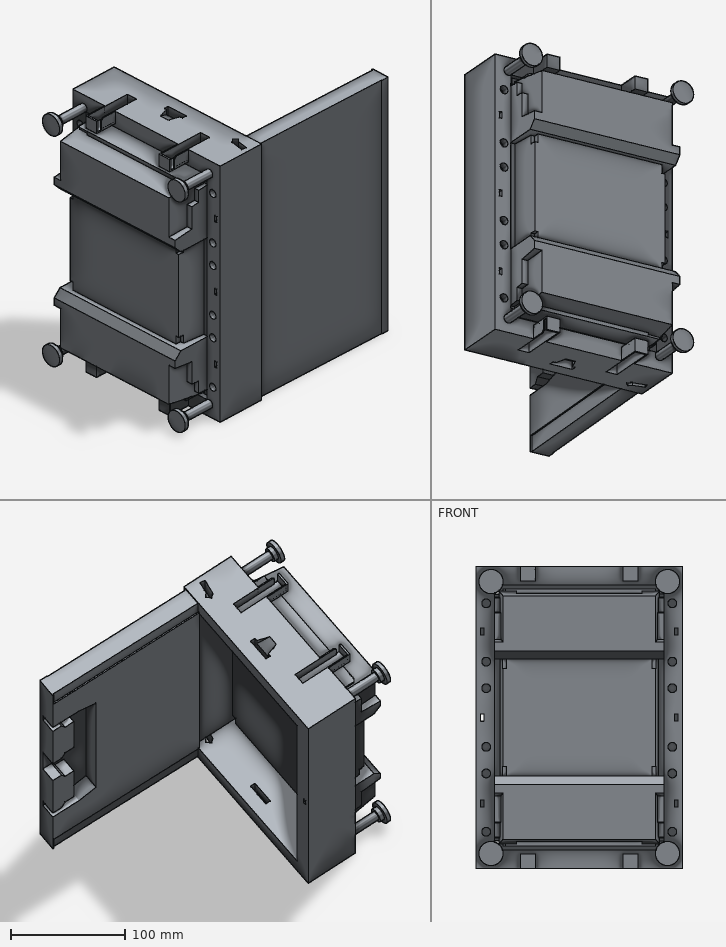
import cadquery as cq


FRAME_WIDTH = 181.0
FRAME_HEIGHT = 264.0
FRAME_DEPTH = 51.5
OPENING_WIDTH = 148.5
OPENING_HEIGHT = 231.4
WALL_Z = (FRAME_HEIGHT - OPENING_HEIGHT) / 2

HOLE_X = 81.3
HOLE_Z_POSITIONS = (25.5, 48.9, 99.8)
HOLE_DIAMETER = 7.7
HOLE_DEPTH = 8.0
SLOT_X = 84.8
SLOT_SPACING = 75.0
SLOT_WIDTH = 2.6
SLOT_HEIGHT = 6.0

CLIP_X = 45.0
CLIP_WIDTH = 13.2
CLIP_HEIGHT = 12.7
CLIP_REACH = 23.2
CLIP_SIDE_WALL = 1.0
CLIP_END_WALL = 1.8
NOTCHED_WALL_REACH = 17.5
NOTCHED_WALL_BEVEL = 2.6
TRENCH_FRONT_Y = 27.5
TRENCH_DEPTH = 11.0

LATCH_WIDTH = 22.5
LATCH_REAR_Y = 33.5
LATCH_FRONT_Y = 38.3
RAMP_REAR_Y = 22.2
RAMP_WIDE = 17.0
RAMP_NARROW = 9.5
RAMP_DEPTH = 5.3

HINGE_SLOT_X = 77.5
HINGE_SLOT_Y = 36.7
HINGE_SLOT_LENGTH = 15.3
HINGE_SLOT_WIDTH = 5.0
HINGE_SLOT_ANGLE = -10.0
HINGE_END_X = 70.8
HINGE_END_Y = 39.0
HINGE_END_SIZE = 5.5
HINGE_END_ANGLE = 45.0

PANEL_REAR_Y = 1.0
PANEL_FRONT_Y = 10.5
TALL_PANEL_REAR_Y = 5.3
WIDE_PANEL_HEIGHT = 215.5
CORE_BASE_WIDTH = 140.5
CORE_END_WIDTH = 133.0
CENTRE_BASE_WIDTH = 139.0
CENTRE_REACH = 27.5
SHROUD_REACH = 39.5
SHROUD_TOP_BASE_Z = 110.5
SHROUD_TOP_END_Z = 106.5
SHROUD_BOTTOM_Z = 51.0
SHROUD_LIP_Z = 58.4
CHAMFER_START_REACH = 32.5
FLANGE_TOP_Z = 105.5
LOW_STEP_REACH = 10.3
HIGH_STEP_Z = 92.2
HIGH_STEP_REACH = 18.8
FOOT_ROOT_Z = 68.5
FOOT_TIP_Z = 66.0
STEP_DRAFT = 0.8
NOTCH_WIDTH = 3.2
NOTCH_BOTTOM_Z = 42.8
NOTCH_REACH = 22.0

PLATE_WIDTH = 133.0
PLATE_TOP_Z = 112.2
PLATE_THICKNESS = 1.8
WEB_WIDTH = 109.9
PLATE_REACH = 18.2
PLATE_CORNER = 2.0

DOOR_LENGTH = 158.0
DOOR_HEIGHT = 261.5
DOOR_THICKNESS = 18.8
DOOR_INNER_X = 69.0
DOOR_LEAN = -0.8
DOOR_ROOT = 0.8
RAIL_HEIGHT = 15.0
RAIL_INSET = 1.3
END_CAP = 1.3
LIP_LENGTH = 8.0
LIP_THICKNESS = 0.5
RECESS_DEPTH = 14.8
RECESS_LENGTH = 46.7
RECESS_STRAIGHT = 28.5
RECESS_HALF_HEIGHT = 76.5
RECESS_INNER_HALF_HEIGHT = 71.8
TAB_Z = 42.0
TAB_HALF_HEIGHT = 27.7
TAB_TIP_HALF_HEIGHT = 22.0
TAB_LENGTH = 22.7
TAB_SHOULDER = 9.5
TAB_NECK = 13.2

SCREW_X = 77.0
SCREW_Z = 118.8
SCREW_LENGTH = 40.7
SHANK_DIAMETER = 8.5
COLLAR_DIAMETER = 13.2
COLLAR_THICKNESS = 4.2
HEAD_DIAMETER = 21.0
HEAD_THICKNESS = 4.0


def block(x_range, y_range, z_range):
    """Box between the given limits."""
    sizes = [high - low for low, high in (x_range, y_range, z_range)]
    corner = (x_range[0], y_range[0], z_range[0])
    return cq.Workplane("XY").box(*sizes, centered=False).translate(corner)


def centred_block(width, y_range, height):
    """Box centred on the Y axis."""
    return block((-width / 2, width / 2), y_range, (-height / 2, height / 2))


def side_profile(points, x_start, x_end):
    """Outline of (y, z) points, extruded along X."""
    return cq.Workplane("YZ").polyline(points).close().extrude(x_end - x_start).translate((x_start, 0, 0))


def both_ends(shape):
    """The shape with its mirror image at the other end of the frame."""
    return shape.union(shape.mirror("XY"))


def rear_holes():
    points = [(x, side * z) for x in (-HOLE_X, HOLE_X) for z in HOLE_Z_POSITIONS for side in (-1, 1)]
    return cq.Workplane("XZ").pushPoints(points).circle(HOLE_DIAMETER / 2).extrude(-HOLE_DEPTH)


def rear_slots():
    """The middle slots pass through the frame, the outer ones are blind."""
    middle = [(-SLOT_X, 0), (SLOT_X, 0)]
    outer = [(x, z) for x in (-SLOT_X, SLOT_X) for z in (-SLOT_SPACING, SLOT_SPACING)]
    through_slots = cq.Workplane("XZ").pushPoints(middle).rect(SLOT_WIDTH, SLOT_HEIGHT).extrude(-FRAME_DEPTH)
    blind_slots = cq.Workplane("XZ").pushPoints(outer).rect(SLOT_WIDTH, SLOT_HEIGHT).extrude(-HOLE_DEPTH)
    return through_slots.union(blind_slots)


def clip_arm(x):
    return block(
        (x - CLIP_WIDTH / 2, x + CLIP_WIDTH / 2),
        (-CLIP_REACH, 0),
        (FRAME_HEIGHT / 2 - CLIP_HEIGHT, FRAME_HEIGHT / 2),
    )


def clip_trench(x):
    half_width = CLIP_WIDTH / 2 - CLIP_SIDE_WALL
    return block(
        (x - half_width, x + half_width),
        (CLIP_END_WALL - CLIP_REACH, TRENCH_FRONT_Y),
        (FRAME_HEIGHT / 2 - TRENCH_DEPTH, FRAME_HEIGHT / 2),
    )


def clip_notch(x):
    """Bevelled gap between the +X side wall and the end wall of a top clip."""
    top = FRAME_HEIGHT / 2
    end = CLIP_END_WALL - CLIP_REACH
    points = [
        (end, top),
        (NOTCHED_WALL_BEVEL - NOTCHED_WALL_REACH, top),
        (-NOTCHED_WALL_REACH, top - NOTCHED_WALL_BEVEL),
        (-NOTCHED_WALL_REACH, top - TRENCH_DEPTH),
        (end, top - TRENCH_DEPTH),
    ]
    return side_profile(points, x, x + CLIP_WIDTH / 2)


def latch_opening():
    top = FRAME_HEIGHT / 2
    opening = block((-LATCH_WIDTH / 2, LATCH_WIDTH / 2), (LATCH_REAR_Y, LATCH_FRONT_Y), (top - WALL_Z, top))
    slope = [(RAMP_REAR_Y, top), (LATCH_REAR_Y, top), (LATCH_REAR_Y, top - RAMP_DEPTH)]
    ramp = side_profile(slope, -RAMP_WIDE / 2, RAMP_WIDE / 2)
    taper = [
        (-RAMP_NARROW / 2, RAMP_REAR_Y),
        (RAMP_NARROW / 2, RAMP_REAR_Y),
        (RAMP_WIDE / 2, LATCH_REAR_Y),
        (-RAMP_WIDE / 2, LATCH_REAR_Y),
    ]
    return opening.union(ramp.intersect(cq.Workplane("XY").polyline(taper).close().extrude(top)))


def hinge_slot():
    bottom = cq.Workplane("XY").workplane(offset=FRAME_HEIGHT / 2 - WALL_Z)
    bar = (
        bottom.center(HINGE_SLOT_X, HINGE_SLOT_Y)
        .transformed(rotate=(0, 0, HINGE_SLOT_ANGLE))
        .rect(HINGE_SLOT_LENGTH, HINGE_SLOT_WIDTH)
        .extrude(WALL_Z)
    )
    end = (
        bottom.center(HINGE_END_X, HINGE_END_Y)
        .transformed(rotate=(0, 0, HINGE_END_ANGLE))
        .rect(HINGE_END_SIZE, HINGE_END_SIZE)
        .extrude(WALL_Z)
    )
    return bar.union(end)


def make_frame():
    frame = centred_block(FRAME_WIDTH, (0, FRAME_DEPTH), FRAME_HEIGHT)
    frame = frame.cut(centred_block(OPENING_WIDTH, (0, FRAME_DEPTH), OPENING_HEIGHT))
    frame = frame.cut(rear_holes()).cut(rear_slots())
    for x in (-CLIP_X, CLIP_X):
        frame = frame.union(both_ends(clip_arm(x))).cut(both_ends(clip_trench(x)))
        notch = clip_notch(x)
        frame = frame.cut(notch).cut(notch.rotate((0, 0, 0), (0, 1, 0), 180))
    return frame.cut(both_ends(latch_opening())).cut(both_ends(hinge_slot()))


def rear_taper(base_width, reach):
    """Wedge that narrows from the base width to the end width over the given reach."""
    points = [
        (-base_width / 2, PANEL_REAR_Y),
        (base_width / 2, PANEL_REAR_Y),
        (CORE_END_WIDTH / 2, -reach),
        (-CORE_END_WIDTH / 2, -reach),
    ]
    return cq.Workplane("XY").polyline(points).close().extrude(FRAME_HEIGHT / 2, both=True)


def shroud_core():
    points = [
        (PANEL_REAR_Y, SHROUD_TOP_BASE_Z),
        (-SHROUD_REACH, SHROUD_TOP_END_Z),
        (-SHROUD_REACH, SHROUD_LIP_Z),
        (-CHAMFER_START_REACH, SHROUD_BOTTOM_Z),
        (PANEL_REAR_Y, SHROUD_BOTTOM_Z),
    ]
    core = side_profile(points, -CORE_BASE_WIDTH / 2, CORE_BASE_WIDTH / 2)
    return core.intersect(rear_taper(CORE_BASE_WIDTH, SHROUD_REACH))


def shroud_flange():
    """Stepped part of a shroud that spans the full width of the opening."""
    points = [
        (PANEL_REAR_Y, FLANGE_TOP_Z),
        (-LOW_STEP_REACH, FLANGE_TOP_Z - STEP_DRAFT),
        (-LOW_STEP_REACH, HIGH_STEP_Z),
        (-HIGH_STEP_REACH, HIGH_STEP_Z - STEP_DRAFT),
        (-HIGH_STEP_REACH, FOOT_ROOT_Z),
        (-SHROUD_REACH, FOOT_TIP_Z),
        (-SHROUD_REACH, SHROUD_LIP_Z),
        (-CHAMFER_START_REACH, SHROUD_BOTTOM_Z),
        (PANEL_REAR_Y, SHROUD_BOTTOM_Z),
    ]
    return side_profile(points, -OPENING_WIDTH / 2, OPENING_WIDTH / 2)


def centre_box():
    box = centred_block(CENTRE_BASE_WIDTH, (-CENTRE_REACH, PANEL_REAR_Y), 2 * SHROUD_BOTTOM_Z)
    box = box.intersect(rear_taper(CENTRE_BASE_WIDTH, CENTRE_REACH))
    outer = CENTRE_BASE_WIDTH / 2
    inner = CORE_END_WIDTH / 2 - NOTCH_WIDTH
    for x_range in ((-outer, -inner), (inner, outer)):
        notch = block(x_range, (-CENTRE_REACH, -NOTCH_REACH), (NOTCH_BOTTOM_Z, SHROUD_BOTTOM_Z))
        box = box.cut(both_ends(notch))
    return box


def cover_plate():
    """Plate above a shroud core, joined to it by a narrower web."""
    plate = block(
        (-PLATE_WIDTH / 2, PLATE_WIDTH / 2),
        (-PLATE_REACH, PANEL_FRONT_Y),
        (PLATE_TOP_Z - PLATE_THICKNESS, PLATE_TOP_Z),
    )
    plate = plate.edges("|Z and <X and <Y").chamfer(PLATE_CORNER)
    web = block(
        (-WEB_WIDTH / 2, WEB_WIDTH / 2),
        (-PLATE_REACH, PANEL_REAR_Y),
        (SHROUD_TOP_END_Z, PLATE_TOP_Z),
    )
    return plate.union(web)


def make_insert():
    insert = centred_block(CORE_BASE_WIDTH, (TALL_PANEL_REAR_Y, PANEL_FRONT_Y), OPENING_HEIGHT)
    wide_panel = centred_block(OPENING_WIDTH, (PANEL_REAR_Y, PANEL_FRONT_Y), WIDE_PANEL_HEIGHT)
    insert = insert.union(wide_panel)
    insert = insert.union(centre_box())
    for feature in (shroud_core(), shroud_flange(), cover_plate()):
        insert = insert.union(both_ends(feature))
    return insert


def door_recess(inner_x, end_y):
    points = [
        (end_y, RECESS_HALF_HEIGHT),
        (end_y - RECESS_STRAIGHT, RECESS_HALF_HEIGHT),
        (end_y - RECESS_LENGTH, RECESS_INNER_HALF_HEIGHT),
        (end_y - RECESS_LENGTH, -RECESS_INNER_HALF_HEIGHT),
        (end_y - RECESS_STRAIGHT, -RECESS_HALF_HEIGHT),
        (end_y, -RECESS_HALF_HEIGHT),
    ]
    return side_profile(points, inner_x, inner_x + RECESS_DEPTH)


def door_tab(inner_x, end_y):
    points = [
        (end_y, TAB_Z + TAB_HALF_HEIGHT),
        (end_y - TAB_SHOULDER, TAB_Z + TAB_HALF_HEIGHT),
        (end_y - TAB_NECK, TAB_Z + TAB_TIP_HALF_HEIGHT),
        (end_y - TAB_LENGTH, TAB_Z + TAB_TIP_HALF_HEIGHT),
        (end_y - TAB_LENGTH, TAB_Z - TAB_TIP_HALF_HEIGHT),
        (end_y - TAB_NECK, TAB_Z - TAB_TIP_HALF_HEIGHT),
        (end_y - TAB_SHOULDER, TAB_Z - TAB_HALF_HEIGHT),
        (end_y, TAB_Z - TAB_HALF_HEIGHT),
    ]
    return side_profile(points, inner_x, inner_x + RECESS_DEPTH)


def make_door():
    """Door standing on the front face of the frame, with its root sunk a little into it."""
    end_y = FRAME_DEPTH + DOOR_LENGTH
    outer_x = DOOR_INNER_X + DOOR_THICKNESS
    half_height = DOOR_HEIGHT / 2
    z_range = (-half_height, half_height)
    door = block((DOOR_INNER_X, outer_x), (FRAME_DEPTH - DOOR_ROOT, end_y), z_range)
    door = door.cut(
        both_ends(
            block(
                (DOOR_INNER_X, DOOR_INNER_X + RAIL_INSET),
                (FRAME_DEPTH - DOOR_ROOT, end_y - END_CAP),
                (half_height - RAIL_HEIGHT, half_height),
            )
        )
    )
    door = door.union(block((outer_x, outer_x + LIP_THICKNESS), (end_y - LIP_LENGTH, end_y), z_range))
    door = door.cut(door_recess(DOOR_INNER_X, end_y)).union(both_ends(door_tab(DOOR_INNER_X, end_y)))
    hinge = (DOOR_INNER_X, FRAME_DEPTH, 0)
    return door.rotate(hinge, (DOOR_INNER_X, FRAME_DEPTH, 1), DOOR_LEAN)


def make_housing():
    return make_frame().union(make_insert()).union(make_door())


def make_screw(x, z):
    """Thumb screw whose shank stands on the rear face of the frame."""
    shank_end = SCREW_LENGTH - HEAD_THICKNESS - COLLAR_THICKNESS
    screw = (
        cq.Workplane("XZ")
        .circle(SHANK_DIAMETER / 2)
        .extrude(shank_end)
        .faces("<Y")
        .workplane()
        .circle(COLLAR_DIAMETER / 2)
        .extrude(COLLAR_THICKNESS)
        .faces("<Y")
        .workplane()
        .circle(HEAD_DIAMETER / 2)
        .extrude(HEAD_THICKNESS)
    )
    return screw.translate((x, 0, z))


housing = make_housing()
screws = [make_screw(x, z) for x in (-SCREW_X, SCREW_X) for z in (-SCREW_Z, SCREW_Z)]
result = cq.Compound.makeCompound([housing.val(), *[screw.val() for screw in screws]])